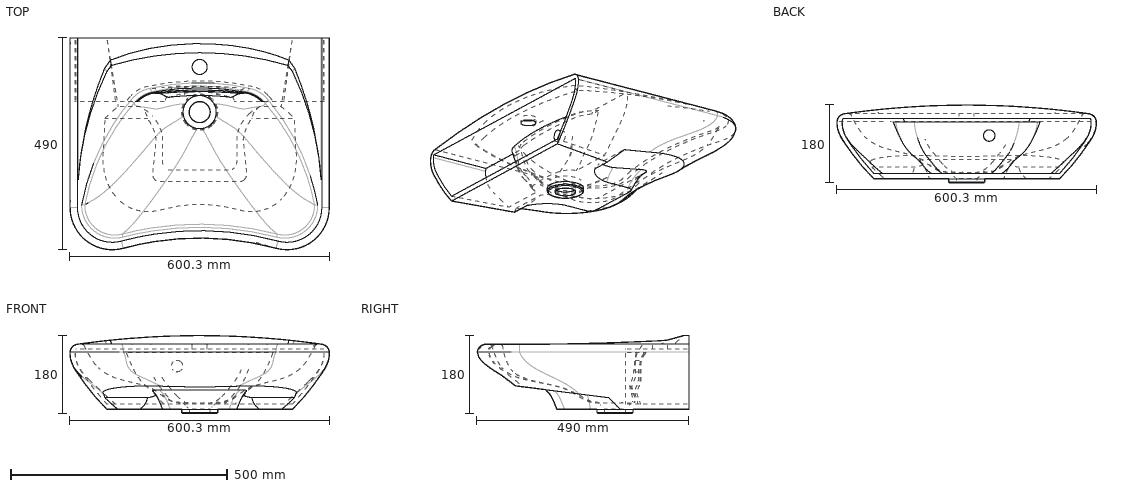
import cadquery as cq
import math

half_width = 300.0
depth = 490.0
crown_z = 180.0
deck_z = 160.0
equator_z = 141.5
base_z = 9.0
wall = 12.0

corner_radius = 98.0
front_sag = 27.0

drain_y = -171.5
drain_hole_diameter = 48.0
drain_sink_diameter = 77.0
drain_sink_bottom_z = 9.5
drain_boss_diameter = 84.0
drain_boss_chamfer = 2.5
bowl_bottom_z = 24.0

tap_y = -67.0
tap_diameter = 35.0
overflow_x = -52.0
overflow_z = 109.0
overflow_diameter = 26.5
overflow_start_y = -90.0
overflow_length = 60.0


def front_curve(half, tip_y, sag, radius):
    """Corner rounds and the concave front arc between them, all tangent.

    Returns the corner start, corner middle, tangent point and front middle on the +X side.
    """
    center_x = half - radius
    center_y = tip_y + radius
    middle_y = tip_y + sag
    rise = center_y - middle_y
    front_radius = (center_x**2 + rise**2 - radius**2) / (2 * (radius - rise))
    end_angle = math.atan2(-(rise + front_radius), -center_x)
    middle_angle = end_angle / 2
    corner_middle = (center_x + radius * math.cos(middle_angle), center_y + radius * math.sin(middle_angle))
    tangent_point = (center_x + radius * math.cos(end_angle), center_y + radius * math.sin(end_angle))
    return (half, center_y), corner_middle, tangent_point, (0, middle_y)


def mirrored(point):
    return (-point[0], point[1])


def add_front(sketch, half, tip_y, sag, radius):
    """Continue an outline from the +X corner start round the front to the -X corner start."""
    start, middle, tangent_point, front_middle = front_curve(half, tip_y, sag, radius)
    return (
        sketch.threePointArc(middle, tangent_point)
        .threePointArc(front_middle, mirrored(tangent_point))
        .threePointArc(mirrored(middle), mirrored(start))
    )


def body_section(z, back_half, half, tip_y, sag, radius):
    """Body outline at one level; the sides run from back_half at the wall to half at the corners."""
    corner_start = (half, tip_y + radius)
    sketch = cq.Workplane("XY", origin=(0, 0, z)).moveTo(back_half, 0).lineTo(*corner_start)
    return add_front(sketch, half, tip_y, sag, radius).lineTo(-back_half, 0).close().val()


def loft(sections, ruled=False):
    """Solid through the sections, smooth or with straight sides."""
    return cq.Workplane(cq.Solid.makeLoft(sections, ruled))


skirt_levels = [
    (base_z, 215.0, 177.0, -348.0, 6.0, 120.0),
    (36.0, 240.0, 212.5, -372.0, 9.0, 126.0),
    (66.0, 264.0, 248.0, -405.0, 15.0, 123.0),
    (90.0, 281.0, 277.5, -438.0, 18.0, 108.0),
    (114.0, 295.0, 295.0, -472.5, 24.0, 102.0),
    (equator_z, half_width, half_width, -depth, front_sag, corner_radius),
]
rim_levels = [(0.0, 0.0), (9.0, 3.0), (15.0, 9.0), (deck_z - equator_z, 17.5)]


def outer_body(inset):
    """Basin body without the raised back, shrunk sideways by inset."""
    skirt = [
        body_section(z, back_half - inset, half - inset, tip_y + inset, sag, radius - inset)
        for z, back_half, half, tip_y, sag, radius in skirt_levels
    ]
    rim = []
    for rise, rim_inset in rim_levels:
        total = inset + rim_inset
        half = half_width - total
        radius = corner_radius - total
        rim.append(body_section(equator_z + rise, half, half, total - depth, front_sag, radius))
    return loft(skirt).union(loft(rim))


crown_half = 280.5
crown_length = depth - corner_radius
crown_embed = 6.0

deck_floor = (-34.0, (204.0, -63.5), (215.0, -78.0), 282.0, 20.0)
deck_top = (-13.0, (209.5, -37.0), (227.5, -57.5), 284.0, 21.0)


def deck_section(z, outline):
    back_y, back_corner, side_start, front_half, swell = outline
    side_middle = ((side_start[0] + front_half) / 2 + swell, (side_start[1] - crown_length) / 2)
    return (
        cq.Workplane("XY", origin=(0, 0, z))
        .moveTo(*mirrored(back_corner))
        .threePointArc((0, back_y), back_corner)
        .lineTo(*side_start)
        .threePointArc(side_middle, (front_half, -crown_length))
        .lineTo(-front_half, -crown_length)
        .threePointArc(mirrored(side_middle), mirrored(side_start))
        .close()
        .val()
    )


def raised_back():
    crown = (
        cq.Workplane("XZ")
        .moveTo(-crown_half, deck_z)
        .threePointArc((0, crown_z), (crown_half, deck_z))
        .lineTo(crown_half, deck_z - crown_embed)
        .lineTo(-crown_half, deck_z - crown_embed)
        .close()
        .extrude(crown_length)
    )
    deck_space = loft([deck_section(deck_z, deck_floor), deck_section(crown_z, deck_top)], ruled=True)
    return crown.cut(deck_space)


corner_fullness = 0.6


def bowl_section(z, back, side, front, bulge):
    """Bowl outline at one level.

    back is the back arc's middle y, end x and end y, side the upper end of the side curve,
    front the half width, tip, sag and corner radius, bulge the side curve's swell.
    """
    back_y, back_x, back_end_y = back
    half, tip_y, sag, radius = front
    corner_start = (half, tip_y + radius)
    side_x, side_y = side
    run_x = corner_start[0] - side_x
    run_y = corner_start[1] - side_y
    run = math.hypot(run_x, run_y)
    side_middle = (
        (side_x + corner_start[0]) / 2 - bulge * run_y / run,
        (side_y + corner_start[1]) / 2 + bulge * run_x / run,
    )
    back_corner = (
        back_x + corner_fullness * (side_x - back_x),
        side_y + corner_fullness * (back_end_y - side_y),
    )
    sketch = (
        cq.Workplane("XY", origin=(0, 0, z))
        .moveTo(-back_x, back_end_y)
        .threePointArc((0, back_y), (back_x, back_end_y))
        .threePointArc(back_corner, (side_x, side_y))
        .threePointArc(side_middle, corner_start)
    )
    return (
        add_front(sketch, half, tip_y, sag, radius)
        .threePointArc(mirrored(side_middle), (-side_x, side_y))
        .threePointArc(mirrored(back_corner), (-back_x, back_end_y))
        .close()
        .val()
    )


lip_levels = [(0.0, 0.0), (4.0, 2.0), (7.0, 7.0)]
lip_bottom_z = deck_z - lip_levels[-1][0]

bowl_levels = [
    (bowl_bottom_z, (-135.5, 18.0, -138.5), (31.0, -152.0), (35.5, -207.5, 0.5, 27.0), 0.5),
    (48.0, (-129.5, 60.0, -134.5), (87.0, -162.0), (96.0, -270.0, 5.0, 48.0), 3.0),
    (78.0, (-125.5, 84.0, -132.0), (117.0, -162.0), (183.0, -381.0, 9.0, 60.0), 12.0),
    (108.0, (-124.0, 99.0, -129.0), (138.0, -159.0), (237.0, -435.0, 18.0, 66.0), 15.0),
    (141.0, (-120.0, 108.0, -128.0), (150.0, -155.0), (259.0, -451.0, 23.0, 69.0), 16.0),
    (lip_bottom_z, (-111.0, 109.0, -124.0), (152.0, -151.0), (266.0, -456.0, 25.0, 69.0), 17.5),
]


def grown_bowl_section(z, level, grow):
    """Outline of a bowl level moved to height z and spread outwards by grow."""
    _, back, side, front, bulge = level
    return bowl_section(
        z,
        tuple(value + grow for value in back),
        (side[0] + grow, side[1] + grow),
        (front[0] + grow, front[1] - grow, front[2], front[3] + grow),
        bulge,
    )


def bowl():
    basin = loft([grown_bowl_section(level[0], level, 0) for level in bowl_levels])
    lip = loft([grown_bowl_section(lip_bottom_z + rise, bowl_levels[-1], grow) for rise, grow in lip_levels])
    return basin.union(lip)


def bowl_with_wall():
    """Bowl thickened by the wall, reaching down below its floor by the same amount."""
    return loft([grown_bowl_section(level[0] - wall, level, wall) for level in bowl_levels])


skirt_end_y = -159.0
underside_back = (-186.0, 36.0)
underside_front = (-405.0, 63.5)
underside_clearance_y = -540.0


def underside_cut():
    return (
        cq.Workplane("YZ")
        .moveTo(skirt_end_y, 0)
        .lineTo(skirt_end_y, base_z)
        .lineTo(*underside_back)
        .lineTo(*underside_front)
        .lineTo(underside_clearance_y, underside_front[1])
        .lineTo(underside_clearance_y, 0)
        .close()
        .extrude(half_width, both=True)
    )


housing_levels = [(0.0, 0.0), (21.0, 8.5), (39.0, 19.0), (49.0, 33.0)]


def housing_section(z, spread):
    """Housing outline: flares at the back, straight sides, rounded front corners, flat front."""
    flare_start = (180.0 + spread, -150.0)
    flare_middle = (111.0 + spread, -179.0 - spread / 2)
    side_back = (86.0 + spread, -228.0 - spread / 2)
    side_front = (86.0 + spread, -288.0 - spread)
    corner_middle = (80.5 + spread, -300.5 - spread)
    front_end = (68.0 + spread, -306.0 - spread)
    return (
        cq.Workplane("XY", origin=(0, 0, z))
        .moveTo(*flare_start)
        .threePointArc(flare_middle, side_back)
        .lineTo(*side_front)
        .threePointArc(corner_middle, front_end)
        .lineTo(*mirrored(front_end))
        .threePointArc(mirrored(corner_middle), mirrored(side_front))
        .lineTo(*mirrored(side_back))
        .threePointArc(mirrored(flare_middle), mirrored(flare_start))
        .close()
        .val()
    )


def drain_housing():
    return loft([housing_section(base_z + rise, spread) for rise, spread in housing_levels])


def rear_hollow():
    """Space between skirt, deck and bowl, open at the back."""
    hollow_length = -skirt_end_y - wall
    height = deck_z - base_z - 2 * wall
    block = cq.Workplane("XY", origin=(0, 0, base_z + wall)).box(
        2 * half_width, 2 * hollow_length, height, centered=(True, True, False)
    )
    return outer_body(wall).intersect(block).cut(bowl_with_wall())


def drain_boss():
    return (
        cq.Workplane("XY")
        .circle(drain_boss_diameter / 2)
        .extrude(bowl_bottom_z)
        .faces("<Z")
        .chamfer(drain_boss_chamfer)
        .translate((0, drain_y, 0))
    )


def drain_hole():
    sink_depth = bowl_bottom_z - drain_sink_bottom_z
    sink = (
        cq.Workplane("XY", origin=(0, drain_y, drain_sink_bottom_z))
        .circle(drain_hole_diameter / 2)
        .workplane(offset=sink_depth)
        .circle(drain_sink_diameter / 2)
        .loft()
    )
    hole = cq.Workplane("XY", origin=(0, drain_y, 0)).circle(drain_hole_diameter / 2).extrude(bowl_bottom_z)
    return sink.union(hole)


def tap_hole():
    return cq.Workplane("XY", origin=(0, tap_y, deck_z - 2 * wall)).circle(tap_diameter / 2).extrude(3 * wall)


def overflow_hole():
    return (
        cq.Workplane("XZ", origin=(overflow_x, overflow_start_y, overflow_z))
        .circle(overflow_diameter / 2)
        .extrude(overflow_length)
    )


body = outer_body(0).union(raised_back())
body = body.cut(underside_cut()).union(drain_housing()).union(drain_boss())
body = body.cut(bowl()).cut(rear_hollow())
result = body.cut(drain_hole()).cut(tap_hole()).cut(overflow_hole())